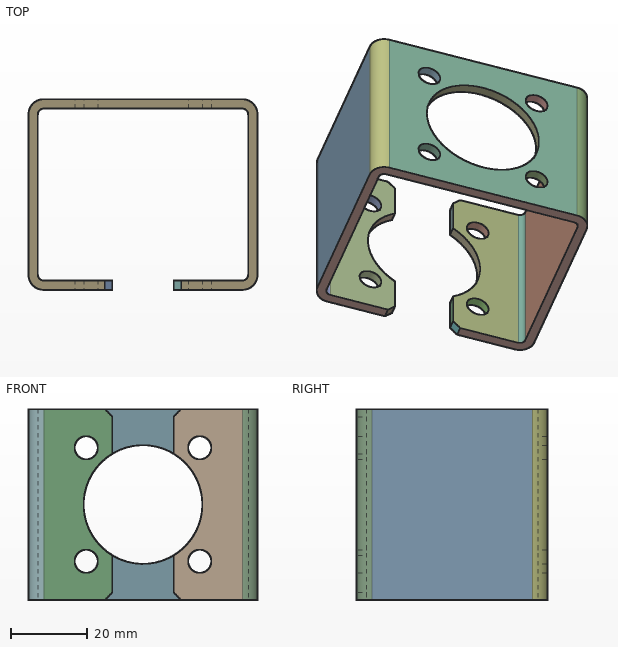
import cadquery as cq

width = 60.0
depth = 50.0
height = 50.0
wall = 2.5
outer_radius = 4.0
inner_radius = outer_radius - wall

gap = 16.0
lip_chamfer = 2.0

bore_diameter = 31.0
bolt_diameter = 6.0
bolt_spacing = 29.7


def rounded_block(size_x, size_y, radius):
    """Upright block, centred on the origin, with rounded vertical edges."""
    return cq.Workplane("XY").box(size_x, size_y, height).edges("|Z").fillet(radius)


def front_opening():
    """Full-height cut through the front wall, widened by chamfers at both ends."""
    half_gap = gap / 2
    half_mouth = half_gap + lip_chamfer
    half_height = height / 2
    shoulder = half_height - lip_chamfer
    outline = [
        (half_mouth, half_height),
        (half_gap, shoulder),
        (half_gap, -shoulder),
        (half_mouth, -half_height),
        (-half_mouth, -half_height),
        (-half_gap, -shoulder),
        (-half_gap, shoulder),
        (-half_mouth, half_height),
    ]
    return cq.Workplane("XZ").polyline(outline).close().extrude(depth / 2)


def wall_holes():
    """Central bore and four bolt holes, running through both walls along Y."""
    bore = cq.Workplane("XZ").circle(bore_diameter / 2).extrude(depth, both=True)
    bolts = (
        cq.Workplane("XZ")
        .rect(bolt_spacing, bolt_spacing, forConstruction=True)
        .vertices()
        .circle(bolt_diameter / 2)
        .extrude(depth, both=True)
    )
    return bore.union(bolts)


cavity = rounded_block(width - 2 * wall, depth - 2 * wall, inner_radius)
channel = rounded_block(width, depth, outer_radius).cut(cavity)
result = channel.cut(front_opening()).cut(wall_holes())